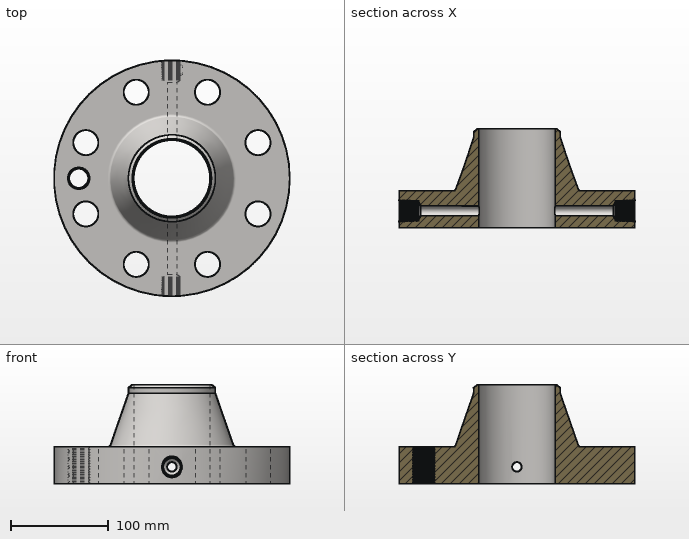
import cadquery as cq
import math

flange_diameter = 241.3
flange_thickness = 38.1

overall_height = 101.6
bore_diameter = 77.9
hub_base_diameter = 127.0
neck_diameter = 88.9
neck_length = 8.7
weld_land = 1.6
weld_bevel_angle = 37.5
hub_fillet = 3.0

bolt_circle_diameter = 190.5
bolt_count = 8
bolt_hole_diameter = 25.4

jack_major_diameter = 22.225
jack_minor_diameter = 19.4
jack_pitch = 25.4 / 9

tap_height = 17.5
tap_hole_diameter = 9.5
tap_major_diameter = 21.8
tap_pitch = 25.4 / 14
tap_thread_height = 0.8 * tap_pitch
tap_turns = 11
tap_taper = 1 / 32
tap_point_angle = 118


def flange_body():
    """Disc, conical hub, neck with weld bevel and bore, turned in one revolve."""
    bore_radius = bore_diameter / 2
    neck_radius = neck_diameter / 2
    land_radius = bore_radius + weld_land
    bevel_drop = (neck_radius - land_radius) * math.tan(math.radians(weld_bevel_angle))
    profile = (
        cq.Workplane("XZ")
        .moveTo(bore_radius, 0)
        .lineTo(flange_diameter / 2, 0)
        .lineTo(flange_diameter / 2, flange_thickness)
        .lineTo(hub_base_diameter / 2, flange_thickness)
        .lineTo(neck_radius, overall_height - neck_length)
        .lineTo(neck_radius, overall_height - bevel_drop)
        .lineTo(land_radius, overall_height)
        .lineTo(bore_radius, overall_height)
        .close()
    )
    body = profile.revolve(360, (0, 0, 0), (0, 1, 0))
    hub_root = cq.selectors.RadiusNthSelector(-2)
    return body.edges("%CIRCLE").edges(hub_root).fillet(hub_fillet)


def bolt_holes():
    """Through holes straddling the X and Y axes."""
    half_step = 180 / bolt_count
    return (
        cq.Workplane("XY")
        .polarArray(bolt_circle_diameter / 2, half_step, 360, bolt_count)
        .circle(bolt_hole_diameter / 2)
        .extrude(flange_thickness)
    )


def threaded_cutter(mouth_radius, thread_height, pitch, turns, taper):
    """Turned solid of V ridges along -Z from the origin, one ring-shaped ridge per pitch.

    The first crest lies in the mouth plane; the radius shrinks by taper per unit of depth.
    """
    profile = cq.Workplane("XZ").lineTo(mouth_radius, 0)
    for turn in range(turns):
        root_depth = (turn + 0.5) * pitch
        crest_depth = (turn + 1) * pitch
        profile = profile.lineTo(mouth_radius - thread_height - taper * root_depth, -root_depth)
        profile = profile.lineTo(mouth_radius - taper * crest_depth, -crest_depth)
    profile = profile.lineTo(0, -turns * pitch).close()
    return profile.revolve(360, (0, 0, 0), (0, 1, 0))


def jack_screw_hole():
    """Straight threaded hole through the flange, on the -X side of the bolt circle."""
    thread_height = (jack_major_diameter - jack_minor_diameter) / 2
    turns = math.ceil(flange_thickness / jack_pitch)
    cutter = threaded_cutter(jack_major_diameter / 2, thread_height, jack_pitch, turns, 0)
    return cutter.translate((-bolt_circle_diameter / 2, 0, flange_thickness))


def pressure_tap():
    """Radial tapped hole with a conical floor and a drilled hole on into the bore.

    It enters from the -Y side of the rim.
    """
    rim_radius = flange_diameter / 2
    thread = threaded_cutter(tap_major_diameter / 2, tap_thread_height, tap_pitch, tap_turns, tap_taper)
    thread_depth = tap_turns * tap_pitch
    floor_radius = tap_major_diameter / 2 - tap_thread_height - tap_taper * thread_depth
    point_depth = floor_radius / math.tan(math.radians(tap_point_angle / 2))
    point = cq.Workplane(cq.Solid.makeCone(
        floor_radius, 0, point_depth, cq.Vector(0, 0, -thread_depth), cq.Vector(0, 0, -1)
    ))
    drill = cq.Workplane("XY").circle(tap_hole_diameter / 2).extrude(-rim_radius)
    tap = thread.union(point).union(drill)
    return tap.rotate((0, 0, 0), (1, 0, 0), 90).translate((0, -rim_radius, tap_height))


result = flange_body().cut(bolt_holes()).cut(jack_screw_hole())
for side_angle in (0, 180):
    result = result.cut(pressure_tap().rotate((0, 0, 0), (0, 0, 1), side_angle))